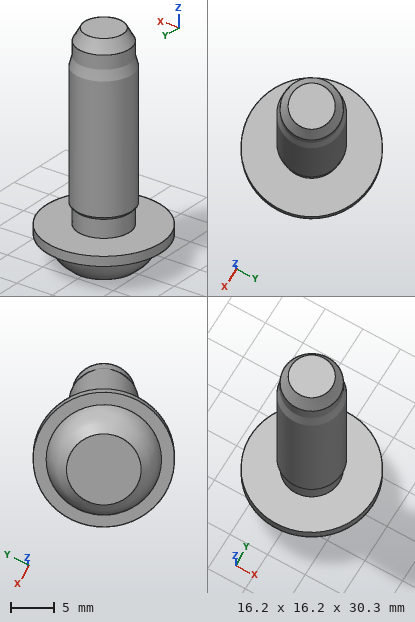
import cadquery as cq

flange_bottom = 3.7
flange_top = 5.0
neck_top = 7.45
shank_bottom = 7.85
shank_top = 25.4
pilot_bottom = 26.72
pilot_top = 28.63
total_height = 30.3

flange_radius = 16.2 / 2
dome_radius = 6.6
head_flat_radius = 4.27
neck_radius = 3.65
shank_radius = 4.0
tip_radius = 2.7
dome_bulge = 0.45

chord_length = (flange_bottom**2 + (dome_radius - head_flat_radius) ** 2) ** 0.5
dome_mid_radius = (dome_radius + head_flat_radius) / 2 + dome_bulge * flange_bottom / chord_length
dome_mid_height = flange_bottom / 2 - dome_bulge * (dome_radius - head_flat_radius) / chord_length

half_section = (
    cq.Workplane("XZ")
    .moveTo(0, 0)
    .lineTo(head_flat_radius, 0)
    .threePointArc((dome_mid_radius, dome_mid_height), (dome_radius, flange_bottom))
    .lineTo(flange_radius, flange_bottom)
    .lineTo(flange_radius, flange_top)
    .lineTo(neck_radius, flange_top)
    .lineTo(neck_radius, neck_top)
    .lineTo(shank_radius, shank_bottom)
    .lineTo(shank_radius, shank_top)
    .lineTo(neck_radius, pilot_bottom)
    .lineTo(neck_radius, pilot_top)
    .lineTo(tip_radius, total_height)
    .lineTo(0, total_height)
    .close()
)

result = half_section.revolve(360, (0, 0, 0), (0, 1, 0))